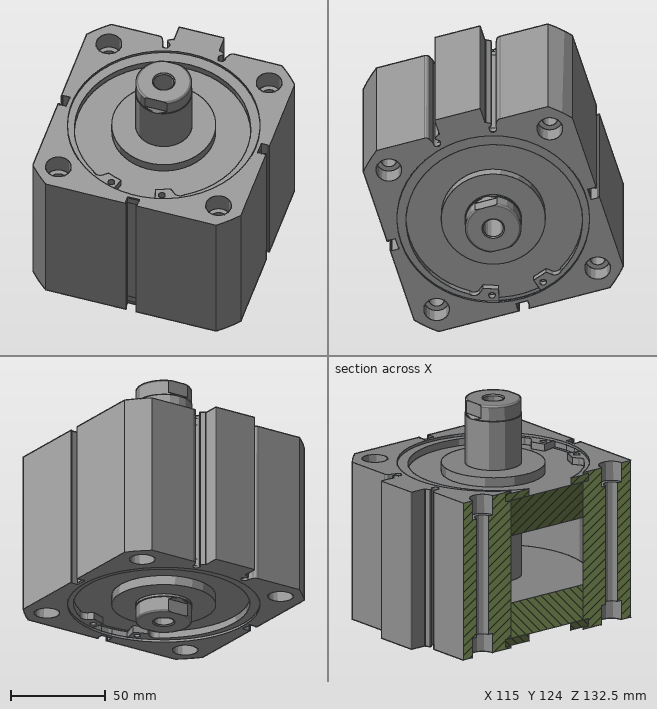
import cadquery as cq
import math

SIDE = 115.0
HEIGHT = 87.0
CORNER_RADIUS = 74.3
HALF = SIDE / 2

BLOCK_WIDTH = 25.0
BLOCK_REACH = 9.0
BLOCK_FILLET = 0.4

BORE_RADIUS = 50.7
RING_RADIUS = 52.6
RING_DEPTH = 1.3
RING_THICKNESS = 3.8
COVER_DEPTH = RING_DEPTH + RING_THICKNESS

SLOT_DEPTH = 4.6
SLOT_WIDTH = 6.5
SLOT_MOUTH = 5.4
SLOT_LIP = 0.8
SLOT_ANGLES = (0, 90, 180)

HOLE_OFFSET = 44.3
HOLE_RADIUS = 4.1
COUNTERBORE_RADIUS = 6.8
COUNTERBORE_DEPTH = 10.6

GROOVE_X = 15.4
GROOVE_RADIUS = 1.9
GROOVE_Y = 52.5
GROOVE_INNER = GROOVE_X - GROOVE_RADIUS
GROOVE_OUTER = GROOVE_X + GROOVE_RADIUS
LIP_LEDGE = 0.5
LIP_TOP = 56.2
LIP_BOTTOM = 55.3
LIP_ROOT = 53.7
FLARE_START_Y = 53.4
FLARE_KNEE = (18.4, 56.0)
FLARE_BEND = (19.2, 57.0)
FLARE_END_X = 20.7

COVER_THICKNESS = 19.9
COLLAR_RADIUS = 27.4

RING_INNER_RADIUS = 46.5
RING_INNER_SHIFT = 2.0
RING_TURN = 1.0
RING_GAP_X = 11.9
LUG_TIP = (9.7, -42.4)
LUG_SHOULDER = (17.4, -39.6)
LUG_FLANK = (19.9, -41.9)
LUG_VALLEY = (22.3, -42.7)
LUG_ROOT_X = 25.2
EYE_X = 14.0
EYE_Y = -45.0
EYE_RADIUS = 1.7

ROD_RADIUS = 15.0
ROD_TOP_REACH = 35.5
ROD_BOTTOM_REACH = 10.0
NOSE_RADIUS = 14.7
NOSE_LENGTH = 8.3
NOSE_FILLET = 0.9
FLAT_DISTANCE = 13.4
FLAT_LENGTH = 7.2
THREAD_RADIUS = 5.3
THREAD_DEPTH = 19.9
THREAD_CHAMFER = 0.7
DRILL_HALF_ANGLE = 59


def cylinder(radius, bottom, height):
    return cq.Workplane("XY").workplane(offset=bottom).circle(radius).extrude(height)


def at_both_ends(body, lower, upper):
    """Return a body made for the top of a part together with its mirror image about mid-height."""
    return body.union(body.mirror("XY", (0, 0, (lower + upper) / 2)))


def make_slot():
    """T-slot in the -Y side, running the full height."""
    floor = cq.Workplane("XY").box(
        SLOT_WIDTH, SLOT_DEPTH - SLOT_LIP, HEIGHT, centered=(True, False, False)
    )
    mouth = cq.Workplane("XY").box(SLOT_MOUTH, SLOT_DEPTH, HEIGHT, centered=(True, False, False))
    floor = floor.translate((0, SLOT_LIP - HALF, 0))
    return floor.union(mouth.translate((0, -HALF, 0)))


def make_side_groove():
    """Groove on the +X side of the port block: round bottom, overhanging lip, flared outer wall."""
    return (
        cq.Workplane("XY")
        .moveTo(BLOCK_WIDTH / 2 + LIP_LEDGE, HALF)
        .lineTo(GROOVE_X, LIP_TOP)
        .lineTo(GROOVE_X, LIP_BOTTOM)
        .lineTo(GROOVE_INNER, LIP_ROOT)
        .lineTo(GROOVE_INNER, GROOVE_Y)
        .threePointArc((GROOVE_X, GROOVE_Y - GROOVE_RADIUS), (GROOVE_OUTER, GROOVE_Y))
        .lineTo(GROOVE_OUTER, FLARE_START_Y)
        .lineTo(*FLARE_KNEE)
        .threePointArc(FLARE_BEND, (FLARE_END_X, HALF))
        .close()
        .extrude(HEIGHT)
    )


def make_mounting_holes():
    hole = cylinder(HOLE_RADIUS, 0, HEIGHT)
    seat = cylinder(COUNTERBORE_RADIUS, HEIGHT - COUNTERBORE_DEPTH, COUNTERBORE_DEPTH)
    hole = hole.union(at_both_ends(seat, 0, HEIGHT))
    holes = cq.Workplane("XY")
    for x in (-HOLE_OFFSET, HOLE_OFFSET):
        for y in (-HOLE_OFFSET, HOLE_OFFSET):
            holes = holes.add(hole.translate((x, y, 0)))
    return holes.combine()


def make_housing():
    body = cq.Workplane("XY").rect(SIDE, SIDE).extrude(HEIGHT)
    body = body.intersect(cylinder(CORNER_RADIUS, 0, HEIGHT))
    block = cq.Workplane("XY").box(BLOCK_WIDTH, HALF + BLOCK_REACH, HEIGHT, centered=(True, False, False))
    block = block.edges("|Z and >Y").fillet(BLOCK_FILLET)
    body = body.union(block)

    body = body.cut(cylinder(BORE_RADIUS, 0, HEIGHT))
    ring_groove = cylinder(RING_RADIUS, HEIGHT - COVER_DEPTH, RING_THICKNESS)
    body = body.cut(at_both_ends(ring_groove, 0, HEIGHT))

    slot = make_slot()
    for angle in SLOT_ANGLES:
        body = body.cut(slot.rotate((0, 0, 0), (0, 0, 1), angle - 90))

    side_groove = make_side_groove()
    body = body.cut(side_groove).cut(side_groove.mirror("YZ"))
    return body.cut(make_mounting_holes())


def make_cover():
    """Upper end cover: disc in the bore with a raised collar round the rod."""
    top = HEIGHT - COVER_DEPTH
    disc = cylinder(BORE_RADIUS, top - COVER_THICKNESS, COVER_THICKNESS)
    collar = cylinder(COLLAR_RADIUS, top, COVER_DEPTH)
    return disc.union(collar).cut(cylinder(ROD_RADIUS, 0, HEIGHT))


def opposite(point):
    """Mirror a point of the outline to the -X side."""
    return (-point[0], point[1])


def make_snap_ring():
    """Upper snap ring: open towards -Y, with a pierced lug at each end."""
    gap_y = -math.sqrt(RING_RADIUS**2 - RING_GAP_X**2)
    root_y = -RING_INNER_SHIFT - math.sqrt(RING_INNER_RADIUS**2 - LUG_ROOT_X**2)
    outline = (
        cq.Workplane("XY")
        .workplane(offset=HEIGHT - COVER_DEPTH)
        .moveTo(RING_GAP_X, gap_y)
        .threePointArc((0, RING_RADIUS), (-RING_GAP_X, gap_y))
        .lineTo(*opposite(LUG_TIP))
        .lineTo(*opposite(LUG_SHOULDER))
        .lineTo(*opposite(LUG_FLANK))
        .threePointArc(opposite(LUG_VALLEY), (-LUG_ROOT_X, root_y))
        .threePointArc((0, RING_INNER_RADIUS - RING_INNER_SHIFT), (LUG_ROOT_X, root_y))
        .threePointArc(LUG_VALLEY, LUG_FLANK)
        .lineTo(*LUG_SHOULDER)
        .lineTo(*LUG_TIP)
        .close()
    )
    ring = outline.extrude(RING_THICKNESS)
    for x in (-EYE_X, EYE_X):
        ring = ring.cut(cylinder(EYE_RADIUS, 0, HEIGHT).translate((x, EYE_Y, 0)))
    return ring


def make_nose_flat(top):
    """Wedge removed from the -Y side of the upper rod end: a flat with a 45 degree run-out."""
    run_out = ROD_RADIUS - FLAT_DISTANCE
    return (
        cq.Workplane("YZ")
        .moveTo(-FLAT_DISTANCE, top)
        .lineTo(-FLAT_DISTANCE, top - FLAT_LENGTH)
        .lineTo(-FLAT_DISTANCE - run_out, top - FLAT_LENGTH - run_out)
        .lineTo(-FLAT_DISTANCE - run_out, top)
        .close()
        .extrude(ROD_RADIUS, both=True)
    )


def make_thread_hole(top):
    """Blind hole in the upper rod end, with a drill point and a chamfered mouth."""
    point_depth = THREAD_RADIUS / math.tan(math.radians(DRILL_HALF_ANGLE))
    return (
        cq.Workplane("XZ")
        .moveTo(0, top)
        .lineTo(THREAD_RADIUS + THREAD_CHAMFER, top)
        .lineTo(THREAD_RADIUS, top - THREAD_CHAMFER)
        .lineTo(THREAD_RADIUS, top - THREAD_DEPTH)
        .lineTo(0, top - THREAD_DEPTH - point_depth)
        .close()
        .revolve(360, (0, 0, 0), (0, 1, 0))
    )


def make_rod():
    bottom = -ROD_BOTTOM_REACH
    top = HEIGHT + ROD_TOP_REACH
    step = ROD_RADIUS - NOSE_RADIUS
    upper_half = (
        cq.Workplane("XZ")
        .moveTo(0, (bottom + top) / 2)
        .lineTo(ROD_RADIUS, (bottom + top) / 2)
        .lineTo(ROD_RADIUS, top - NOSE_LENGTH - step)
        .lineTo(NOSE_RADIUS, top - NOSE_LENGTH)
        .lineTo(NOSE_RADIUS, top)
        .lineTo(0, top)
        .close()
        .revolve(360, (0, 0, 0), (0, 1, 0))
    )
    upper_half = upper_half.faces(">Z").edges().fillet(NOSE_FILLET)
    nose_flat = make_nose_flat(top)
    upper_half = upper_half.cut(nose_flat).cut(nose_flat.mirror("XZ"))
    upper_half = upper_half.cut(make_thread_hole(top))
    return at_both_ends(upper_half, bottom, top)


def to_lower_end(body):
    return body.mirror("XY", (0, 0, HEIGHT / 2))


housing = make_housing()
rod = make_rod()

upper_cover = make_cover()
lower_cover = to_lower_end(upper_cover)

lower_ring = to_lower_end(make_snap_ring())
upper_ring = make_snap_ring().rotate((0, 0, 0), (0, 0, 1), -RING_TURN)

result = cq.Compound.makeCompound([
    *housing.solids().vals(),
    *rod.solids().vals(),
    *upper_cover.solids().vals(),
    *lower_cover.solids().vals(),
    *upper_ring.solids().vals(),
    *lower_ring.solids().vals(),
])